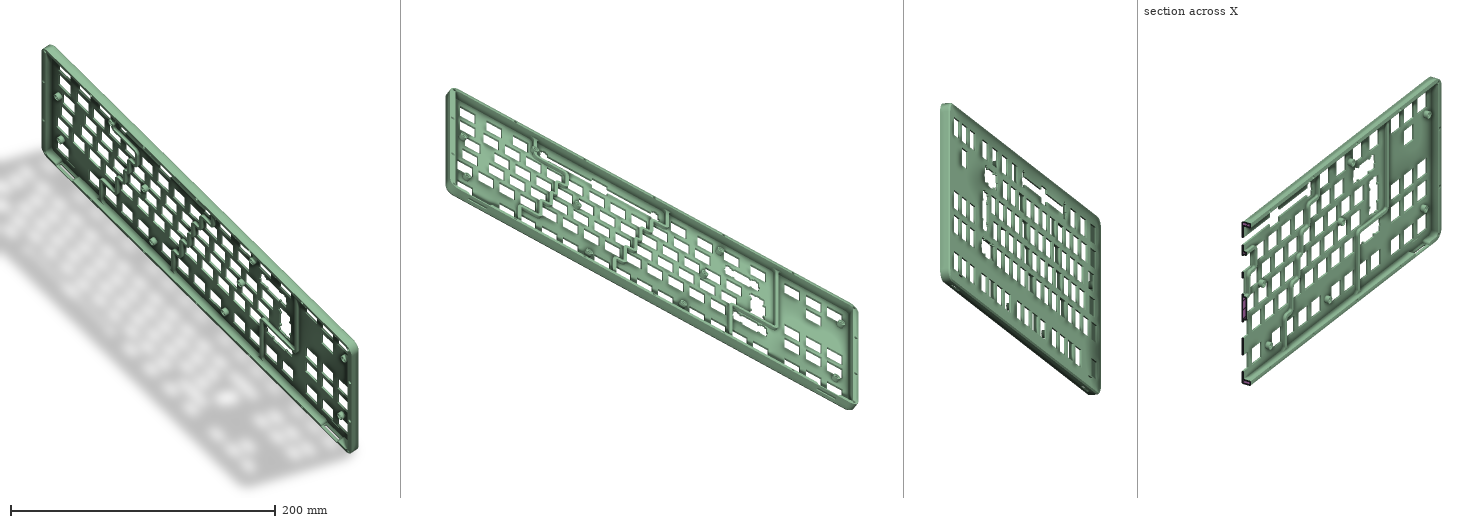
import cadquery as cq
import math

length = 368.3
depth = 7.7
height = 139.5
corner_radius = 8.0
back_chamfer = 1.0
plate_thickness = 1.5
rim_side = 4.8
rim_edge = 3.5
inner_corner_radius = 3.3

front_y = -depth / 2
plate_y = depth / 2 - plate_thickness
inner_length = length - 2 * rim_side
inner_height = height - 2 * rim_edge

key_field_width = 352.5
key_field_pitches = 18.5
pitch = key_field_width / key_field_pitches
key_hole = 14.0
nav_columns = [6.75, 7.75, 8.75]

stab_width = 6.5
stab_below = 6.0
stab_above = 6.5
stab_tip_width = 3.0
stab_tip_height = 1.2
stab_ear_length = 0.8
stab_ear_height = 2.8
stab_ear_z = -0.55
stab_span_short = 24.0
stab_span_space = 99.8
slot_height_short = 10.3
slot_height_space = 6.3
slot_z = 0.5

rib_width = 2.75
rib_height = 2.5
rib_bend = 3.3
rib_flare = 3.0
bend_share = 0.49
right_rib_x = 113.0

boss_diameter = 6.0
boss_height = 3.5
boss_mouth_diameter = 4.5
boss_mouth_depth = 0.7
boss_hole_diameter = 2.5
edge_hole_diameter = 2.5
rim_hole_diameter = 3.0
drill_tip_angle = 118
rim_hole_depth = 4.0
rim_hole_spacing = 62.5
side_hole_z = 25.0
edge_hole_inset = 2.03
corner_hole_inset = 4.0

clip_x = 157.3
pocket_width = 23.2
pocket_depth = 2.2
latch_window_width = 17.0
latch_window_depth = 2.0
latch_window_y = -0.7
slit_length = 9.2
slit_width = 1.0
slit_z = -61.0


def box(x_size, z_size, x, z, y_start, y_end):
    """Block centred on (x, z), running from y_start to y_end."""
    block = cq.Workplane("XY").box(x_size, y_end - y_start, z_size)
    return block.translate((x, (y_start + y_end) / 2, z))


def plane_at(y):
    """Sketch plane at the given Y: local x is X, local y is Z, extrusion runs toward -Y."""
    return cq.Workplane("XZ", origin=(0, y, 0))


def steps(first, count):
    return [first + i for i in range(count)]


def make_shell():
    shell = box(length, height, 0, 0, front_y, depth / 2)
    shell = shell.edges("|Y").fillet(corner_radius).faces(">Y").edges().chamfer(back_chamfer)
    cavity = box(inner_length, inner_height, 0, 0, front_y, plate_y)
    return shell.cut(cavity.edges("|Y").fillet(inner_corner_radius))


def key_centres():
    """Centres of all key holes, listed as row position and its columns."""
    rows = {
        2.75: [-8.625, -7.375, -6.125, -2.375, 1.375, 2.625, 3.875, 5.125] + nav_columns,
        1.75: [-8.625] + steps(-7.5, 11) + [4.375, 7.75],
        0.75: [-8.375] + steps(-7, 12),
        0.25: [5.125],
        -0.25: [-8.5] + steps(-7.25, 12) + nav_columns,
        -1.25: steps(-8.75, 13) + [4.75] + nav_columns,
        -2.75: [-8.75] + steps(-6.75, 4) + steps(-2.25, 4) + steps(2.25, 4) + nav_columns,
    }
    return [(column * pitch, row * pitch) for row, columns in rows.items() for column in columns]


def make_key_holes():
    return plane_at(depth / 2).pushPoints(key_centres()).rect(key_hole, key_hole).extrude(plate_thickness)


def make_stabilizer(column, row, span, slot_height, turn=0):
    """Stabilizer opening: two housings joined by a slot, turned about the key centre."""
    cut_depth = (plate_y, depth / 2)
    housing_height = stab_below + stab_above
    housing_z = (stab_above - stab_below) / 2
    opening = box(span, slot_height, 0, slot_z, *cut_depth)
    for side in (-1, 1):
        x = side * span / 2
        opening = opening.union(box(stab_width, housing_height, x, housing_z, *cut_depth))
        opening = opening.union(box(stab_tip_width, 2 * stab_tip_height, x, stab_above, *cut_depth))
        ear_x = x + side * stab_width / 2
        opening = opening.union(box(2 * stab_ear_length, stab_ear_height, ear_x, stab_ear_z, *cut_depth))
    opening = opening.rotate((0, 0, 0), (0, -1, 0), turn)
    return opening.translate((column * pitch, 0, row * pitch))


def rib_path(points):
    """Centre line of a rib with rounded bends."""
    path = plane_at(plate_y).moveTo(*points[0])
    for before, bend, after in zip(points, points[1:], points[2:]):
        length_in = math.dist(before, bend)
        length_out = math.dist(bend, after)
        radius = min(rib_bend, bend_share * length_in, bend_share * length_out)
        into = [(b - a) / length_in for a, b in zip(before, bend)]
        out = [(b - a) / length_out for a, b in zip(bend, after)]
        start = [b - radius * d for b, d in zip(bend, into)]
        end = [b + radius * d for b, d in zip(bend, out)]
        bulge = radius * (1 - math.sqrt(0.5))
        middle = [b + bulge * (o - i) for b, o, i in zip(bend, out, into)]
        path = path.lineTo(*start).threePointArc(middle, end)
    return path.lineTo(*points[-1])


def make_flare(x, side):
    """Widened foot with concave flanks where a rib meets the upper or lower rim."""
    wall_z = side * inner_height / 2
    half = rib_width / 2 + rib_flare
    foot = box(2 * half, 2 * rib_flare, x, wall_z, plate_y - rib_height, plate_y)
    centres = [(x - half, wall_z - side * rib_flare), (x + half, wall_z - side * rib_flare)]
    return foot.cut(plane_at(plate_y).pushPoints(centres).circle(rib_flare).extrude(rib_height))


def make_rib(columns, rows):
    """Rib that runs down each column in turn and crosses to the next along the matching row."""
    wall_z = inner_height / 2
    levels = [wall_z] + [row * pitch for row in rows] + [-wall_z]
    points = []
    for i, column in enumerate(columns):
        points += [(column * pitch, levels[i]), (column * pitch, levels[i + 1])]
    rib = rib_path(points).wire().offset2D(rib_width / 2).extrude(rib_height)
    return rib.union(make_flare(points[0][0], 1)).union(make_flare(points[-1][0], -1))


def add_bosses(case):
    centres = [
        (-105.5, 50.5), (62.0, 50.5), (171.0, 41.0), (-169.8, 14.5), (-66.5, 6.0),
        (47.5, 6.0), (-166.5, -38.3), (166.5, -38.3), (-56.7, -52.3), (28.5, -52.3),
    ]
    top_y = plate_y - boss_height
    bosses = plane_at(plate_y).pushPoints(centres).circle(boss_diameter / 2).extrude(boss_height)
    holes = plane_at(plate_y).pushPoints(centres).circle(boss_hole_diameter / 2).extrude(boss_height)
    mouths = plane_at(top_y + boss_mouth_depth).pushPoints(centres)
    mouths = mouths.circle(boss_mouth_diameter / 2).extrude(boss_mouth_depth)
    return case.union(bosses).cut(holes).cut(mouths)


def make_blind_hole(diameter, x, z):
    """Hole drilled from the front of the rim, with a conical tip."""
    radius = diameter / 2
    bottom_y = front_y + rim_hole_depth
    tip_height = radius / math.tan(math.radians(drill_tip_angle / 2))
    bore = plane_at(bottom_y).center(x, z).circle(radius).extrude(rim_hole_depth)
    tip = cq.Solid.makeCone(radius, 0, tip_height, cq.Vector(x, bottom_y, z), cq.Vector(0, 1, 0))
    return bore.union(cq.Workplane(tip))


def add_rim_holes(case):
    edge_z = height / 2 - edge_hole_inset
    side_x = (length - rim_side) / 2
    corner_x = length / 2 - corner_hole_inset
    corner_z = height / 2 - corner_hole_inset
    for z_side in (-1, 1):
        for i in range(-2, 3):
            case = case.cut(make_blind_hole(edge_hole_diameter, i * rim_hole_spacing, z_side * edge_z))
        for x_side in (-1, 1):
            case = case.cut(make_blind_hole(rim_hole_diameter, x_side * side_x, z_side * side_hole_z))
            case = case.cut(make_blind_hole(rim_hole_diameter, x_side * corner_x, z_side * corner_z))
    return case


def make_clip_pocket(x):
    """Pocket cut down into the lower rim, its mouth rounded outward at both ends."""
    wall_z = -inner_height / 2
    floor_z = wall_z - pocket_depth
    ends = [(x - pocket_width / 2, floor_z), (x + pocket_width / 2, floor_z)]
    pocket = box(pocket_width, pocket_depth, x, (wall_z + floor_z) / 2, front_y, plate_y)
    return pocket.cut(plane_at(plate_y).pushPoints(ends).circle(pocket_depth).extrude(plate_y - front_y))


def make_latch_window(x):
    """Opening through the pocket floor to the outside."""
    window_start = latch_window_y - latch_window_depth / 2
    window_end = latch_window_y + latch_window_depth / 2
    return box(latch_window_width, 2 * rim_edge, x, -height / 2, window_start, window_end)


def make_slit(x):
    """Narrow slot through the plate above a pocket."""
    return box(slit_length, slit_width, x, slit_z, plate_y, depth / 2)


case = make_shell().cut(make_key_holes())

case = case.cut(make_stabilizer(-2.375, 2.75, stab_span_space, slot_height_space))
case = case.cut(make_stabilizer(4.375, 1.75, stab_span_short, slot_height_short))
case = case.cut(make_stabilizer(4.75, -1.25, stab_span_short, slot_height_short))
case = case.cut(make_stabilizer(5.125, 0.25, stab_span_short, slot_height_short, 90))

crossing_rows = [2.25, 1.25, 0.25, -0.75, -2]
case = case.union(make_rib([-5.5, -4, -4.5, -4.75, -5.25, -6.25], crossing_rows))
case = case.union(make_rib([0.75, 0, -0.5, -0.75, -1.25, -1.75], crossing_rows))
case = case.union(make_rib([right_rib_x / pitch, 3.75], [-0.75]))

case = add_rim_holes(add_bosses(case))
for x in (-clip_x, clip_x):
    case = case.cut(make_clip_pocket(x)).cut(make_latch_window(x)).cut(make_slit(x))

result = case